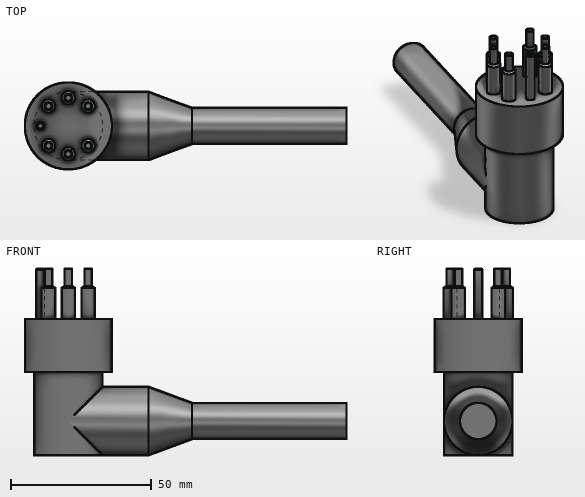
import cadquery as cq
import math

overall_length = 114.6
overall_height = 66.5

collar_diameter = 31.0
collar_bottom = 29.6
collar_top = 48.6
body_diameter = 24.4
arm_axis_height = body_diameter / 2

arm_end = 28.5
taper_end = 44.0
cable_diameter = 13.0
cable_end = overall_length - collar_diameter / 2

pin_circle_radius = 10.0
pin_spacing_angle = 45
contact_positions = (1, 2, 3, 5, 6, 7)
key_position = 4
contact_base_diameter = 4.8
contact_tip_diameter = 2.8
contact_tip_chamfer = 0.2
shoulder_bottom = 59.5
shoulder_height = 0.7
key_diameter = 3.0
key_chamfer = 0.5


def housing():
    """Upright body with the wider plug collar on top."""
    body = cq.Workplane("XY").circle(body_diameter / 2).extrude(collar_top)
    collar = (
        cq.Workplane("XY")
        .workplane(offset=collar_bottom)
        .circle(collar_diameter / 2)
        .extrude(collar_top - collar_bottom)
    )
    return body.union(collar)


def cable_arm():
    """Side arm, as wide as the body, tapering to the cable; revolved about its own axis."""
    profile = [
        (0, 0),
        (0, body_diameter / 2),
        (arm_end, body_diameter / 2),
        (taper_end, cable_diameter / 2),
        (cable_end, cable_diameter / 2),
        (cable_end, 0),
    ]
    arm = cq.Workplane("XZ").polyline(profile).close().revolve(360, (0, 0, 0), (1, 0, 0))
    return arm.translate((0, 0, arm_axis_height))


def contact_pin():
    """Stepped contact with a conical shoulder and a chamfered tip."""
    tip_radius = contact_tip_diameter / 2
    profile = [
        (0, collar_top),
        (contact_base_diameter / 2, collar_top),
        (contact_base_diameter / 2, shoulder_bottom),
        (tip_radius, shoulder_bottom + shoulder_height),
        (tip_radius, overall_height - contact_tip_chamfer),
        (tip_radius - contact_tip_chamfer, overall_height),
        (0, overall_height),
    ]
    return cq.Workplane("XZ").polyline(profile).close().revolve(360, (0, 0, 0), (0, 1, 0))


def key_pin():
    """Plain keying pin with a chamfered tip."""
    return (
        cq.Workplane("XY")
        .workplane(offset=collar_top)
        .circle(key_diameter / 2)
        .extrude(overall_height - collar_top)
        .faces(">Z")
        .chamfer(key_chamfer)
    )


def on_pin_circle(pin, position):
    """Move a pin from the plug axis to a numbered position, counted from +X."""
    angle = math.radians(position * pin_spacing_angle)
    return pin.translate((pin_circle_radius * math.cos(angle), pin_circle_radius * math.sin(angle), 0))


result = housing().union(cable_arm())
for contact_position in contact_positions:
    result = result.union(on_pin_circle(contact_pin(), contact_position))
result = result.union(on_pin_circle(key_pin(), key_position))